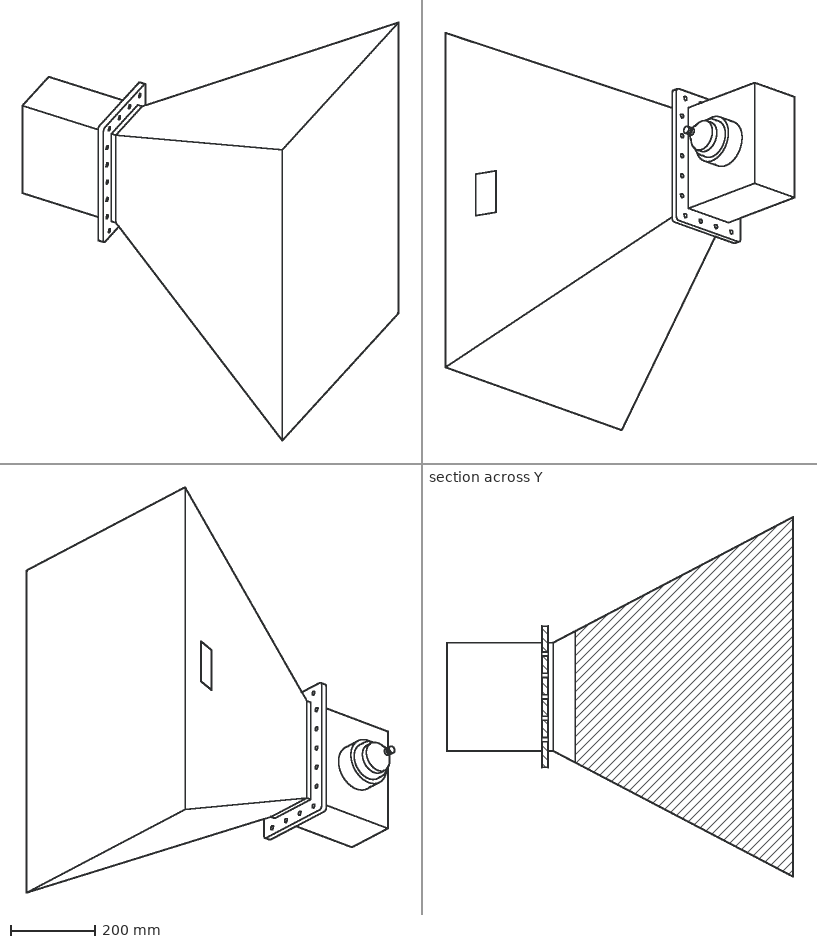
import cadquery as cq
import math

total_length = 820.0
mouth_width = 582.0
mouth_height = 852.0
guide_width = 132.0
guide_height = 256.5
guide_length = 225.0
throat_end = 251.0

flange_thickness = 14.5
flange_width = 211.0
flange_height = 336.0
flange_corner_radius = 8.0
bolt_diameter = 9.0
bolt_row_span = 152.0
bolt_column_span = 203.0
bolt_row_z = 149.0
bolt_column_y = 87.0
bolts_per_row = 4
bolts_per_column = 5

connector_x = 98.0
base_diameter = 111.0
base_height = 45.0
collar_diameter = 90.0
collar_height = 20.0
collar_fillet = 5.0
neck_diameter = 72.0
neck_height = 14.5
cone_height = 33.0
tip_diameter = 17.0
tip_ring_height = 7.0
tip_groove_diameter = 14.0
tip_groove_height = 3.0
tip_cap_height = 8.0

plate_length = 53.0
plate_height = 106.0
plate_thickness = 1.0
plate_center_y = 252.0

flange_end = guide_length + flange_thickness
flare_length = total_length - throat_end
flare_rise = (mouth_width - guide_width) / 2
flare_angle = math.degrees(math.atan2(flare_rise, flare_length))


def make_waveguide():
    return cq.Workplane("YZ").rect(guide_width, guide_height).extrude(guide_length)


def centered_positions(count, span):
    return [span * (i / (count - 1) - 0.5) for i in range(count)]


def make_flange():
    row_bolts = [
        (y, side * bolt_row_z)
        for y in centered_positions(bolts_per_row, bolt_row_span)
        for side in (-1, 1)
    ]
    column_bolts = [
        (side * bolt_column_y, z)
        for z in centered_positions(bolts_per_column, bolt_column_span)
        for side in (-1, 1)
    ]
    return (
        cq.Workplane("YZ", origin=(guide_length, 0, 0))
        .rect(flange_width, flange_height)
        .extrude(flange_thickness)
        .edges("|X")
        .fillet(flange_corner_radius)
        .faces(">X")
        .workplane(origin=(0, 0, 0))
        .pushPoints(row_bolts + column_bolts)
        .hole(bolt_diameter)
    )


def make_horn():
    throat = (
        cq.Workplane("YZ", origin=(flange_end, 0, 0))
        .rect(guide_width, guide_height)
        .extrude(throat_end - flange_end)
    )
    flare = (
        cq.Workplane("YZ", origin=(throat_end, 0, 0))
        .rect(guide_width, guide_height)
        .workplane(offset=flare_length)
        .rect(mouth_width, mouth_height)
        .loft(ruled=True)
    )
    return throat.union(flare)


def make_connector():
    wall_y = guide_width / 2
    base_top = wall_y + base_height
    collar_top = base_top + collar_height
    neck_top = collar_top + neck_height
    cone_top = neck_top + cone_height
    ring_top = cone_top + tip_ring_height
    groove_top = ring_top + tip_groove_height
    cap_top = groove_top + tip_cap_height
    base_radius = base_diameter / 2
    collar_radius = collar_diameter / 2
    neck_radius = neck_diameter / 2
    tip_radius = tip_diameter / 2
    groove_radius = tip_groove_diameter / 2
    fillet_offset = collar_fillet * math.sqrt(0.5)
    fillet_middle = (
        collar_radius - collar_fillet + fillet_offset,
        collar_top - collar_fillet + fillet_offset,
    )
    return (
        cq.Workplane("ZY", origin=(connector_x, 0, 0))
        .moveTo(0, wall_y)
        .lineTo(base_radius, wall_y)
        .lineTo(base_radius, base_top)
        .lineTo(collar_radius, base_top)
        .lineTo(collar_radius, collar_top - collar_fillet)
        .threePointArc(fillet_middle, (collar_radius - collar_fillet, collar_top))
        .lineTo(neck_radius, collar_top)
        .lineTo(neck_radius, neck_top)
        .lineTo(tip_radius, cone_top)
        .lineTo(tip_radius, ring_top)
        .lineTo(groove_radius, ring_top)
        .lineTo(groove_radius, groove_top)
        .lineTo(tip_radius, groove_top)
        .lineTo(tip_radius, cap_top)
        .lineTo(0, cap_top)
        .close()
        .revolve(360, (0, 0, 0), (0, 1, 0))
    )


def make_name_plate():
    center_x = throat_end + flare_length * (plate_center_y - guide_width / 2) / flare_rise
    return (
        cq.Workplane("XY")
        .box(plate_length, plate_thickness, plate_height, centered=(True, False, True))
        .rotate((0, 0, 0), (0, 0, 1), flare_angle)
        .translate((center_x, plate_center_y, 0))
    )


waveguide = make_waveguide()
flange = make_flange()
horn = make_horn()
connector = make_connector()
name_plate = make_name_plate()

result = cq.Compound.makeCompound(
    [waveguide.val(), flange.val(), horn.val(), connector.val(), name_plate.val()]
)